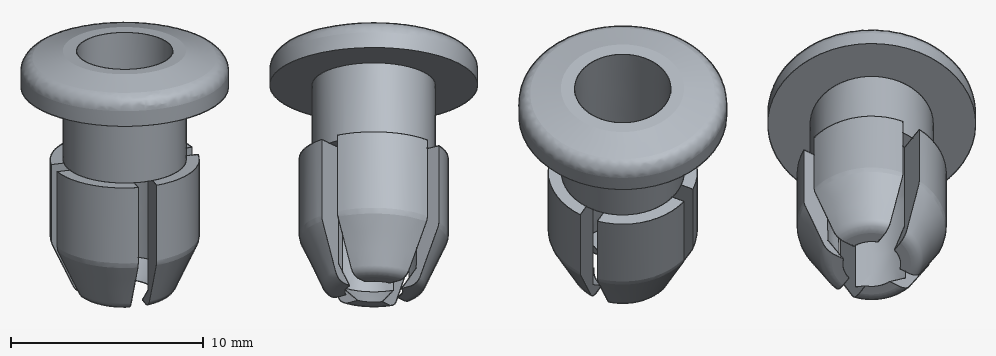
import cadquery as cq
import math

total_height = 13.5
head_thickness = 2.0
crown_drop = 0.38
shoulder_height = 7.4
taper_height = 3.0

head_radius = 10.8 / 2
shank_radius = 6.4 / 2
barrel_radius = 7.75 / 2
tip_radius = 5.0 / 2
crown_rim_radius = shank_radius
crown_round_start = 4.77

head_fillet = 0.8
barrel_fillet = 0.7

bore_radius = 5.0 / 2
funnel_radius = 4.86 / 2
tip_bore_radius = 3.0 / 2
funnel_angle = 45
slot_width = 1.0
slot_count = 2

crown_slope = crown_drop / (crown_round_start - crown_rim_radius)
head_bottom = total_height - head_thickness
head_edge_height = total_height - crown_slope * (head_radius - crown_rim_radius)


def revolve(points):
    """Revolve a closed (radius, height) outline about the Z axis."""
    return cq.Workplane("XZ").polyline(points).close().revolve(360, (0, 0), (0, 1))


def ring_at(radius, height):
    """Selector for the circular edge of the given radius and height."""
    margin = 0.05
    return cq.selectors.BoxSelector(
        (-radius - margin, -radius - margin, height - margin),
        (radius + margin, radius + margin, height + margin),
        boundingbox=True,
    )


def make_head():
    head = revolve([
        (0, head_bottom),
        (head_radius, head_bottom),
        (head_radius, head_edge_height),
        (crown_rim_radius, total_height),
        (0, total_height),
    ])
    return head.edges(ring_at(head_radius, head_edge_height)).fillet(head_fillet)


def make_shank():
    shank_length = head_bottom - shoulder_height
    return cq.Workplane("XY").workplane(offset=shoulder_height).circle(shank_radius).extrude(shank_length)


def make_barrel():
    barrel = revolve([
        (0, 0),
        (tip_radius, 0),
        (barrel_radius, taper_height),
        (barrel_radius, shoulder_height),
        (0, shoulder_height),
    ])
    barrel = barrel.edges(ring_at(barrel_radius, taper_height)).fillet(barrel_fillet)
    return barrel.edges(ring_at(tip_radius, 0)).fillet(barrel_fillet)


def make_bore():
    """Slightly drafted bore with a conical funnel that opens through the tip."""
    funnel_height = (funnel_radius - tip_bore_radius) / math.tan(math.radians(funnel_angle))
    return revolve([
        (0, 0),
        (tip_bore_radius, 0),
        (funnel_radius, funnel_height),
        (bore_radius, total_height),
        (0, total_height),
    ])


def make_slots():
    """Crossing slots that split the barrel into equal legs."""
    slots = cq.Workplane("XY")
    for index in range(slot_count):
        slot = cq.Workplane("XY").rect(2 * barrel_radius, slot_width).extrude(shoulder_height)
        slots = slots.add(slot.rotate((0, 0, 0), (0, 0, 1), index * 180 / slot_count))
    return slots.combine()


body = make_head().union(make_shank()).union(make_barrel())
result = body.cut(make_bore()).cut(make_slots())